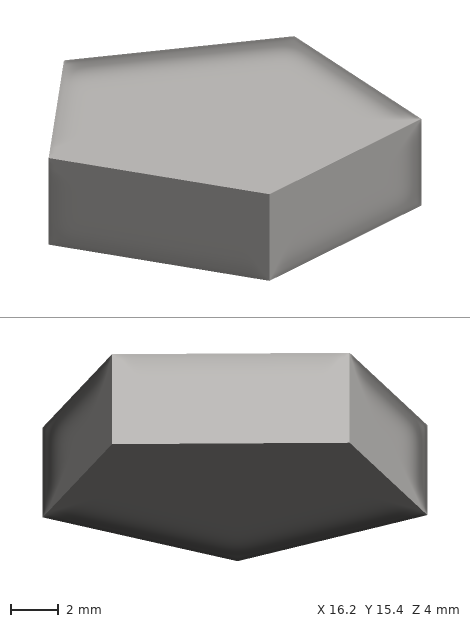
import cadquery as cq
import math

overall_width = 16.18
thickness = 4.0
side_count = 5

circumradius = overall_width / (2 * math.sin(2 * math.pi / side_count))

vertex_angles = [math.pi / 2 + 2 * math.pi * i / side_count for i in range(side_count)]
vertices = [(circumradius * math.cos(a), circumradius * math.sin(a)) for a in vertex_angles]

result = cq.Workplane("XY").polyline(vertices).close().extrude(thickness)